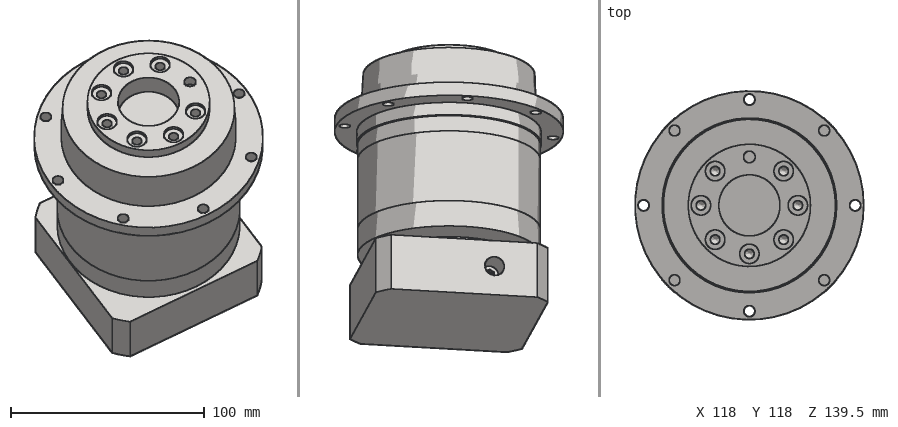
import cadquery as cq
import math

TOTAL_HEIGHT = 139.5
PLATE_TOP = 29.5
NECK_TOP = 30.0
COLLAR_TOP = 32.6
REAR_CONE_TOP = 35.6
RING_BOTTOM = 49.4
RING_TOP = 87.3
SHOULDER_BOTTOM = 95.5
FLANGE_BOTTOM = 102.7
FLANGE_TOP = 109.8
TAPER_BOTTOM = 120.0
HOUSING_TOP = 133.6

OUTPUT_RADIUS = 31.5
NOSE_TOP_RADIUS = 44.4
NOSE_RADIUS = 45.0
FLANGE_RADIUS = 59.0
SHOULDER_RADIUS = 47.5
BARREL_RADIUS = 47.2
COLLAR_RADIUS = 38.5
NECK_RADIUS = 38.0

FLANGE_HOLE_COUNT = 8
FLANGE_HOLE_DIAMETER = 5.6
FLANGE_HOLE_CIRCLE_RADIUS = 54.5

BORE_DIAMETER = 31.5
BORE_DEPTH = 12.0
OUTPUT_POSITION_COUNT = 8
OUTPUT_HOLE_CIRCLE_RADIUS = 25.0
DOWEL_ANGLE = 90.0
DOWEL_DIAMETER = 6.0
DOWEL_DEPTH = 6.0
DRILL_DIAMETER = 4.9
DRILL_DEPTH = 14.0
DRILL_POINT_ANGLE = 118.0
COUNTERBORE_DIAMETER = 10.0
COUNTERBORE_DEPTH = 1.7

PLATE_WIDTH = 2 * NOSE_RADIUS
PLATE_CORNER_RADIUS = 59.1

ACCESS_DIAMETER = 10.0
ACCESS_DEPTH = 20.9
ACCESS_Y = -15.9
ACCESS_Z = 15.6
SCREW_HEAD_DIAMETER = 9.5
SCREW_HEAD_HEIGHT = 6.0
SCREW_HEAD_FILLET = 0.5
SOCKET_SIDES = 6
SOCKET_ACROSS_FLATS = 5.0
SOCKET_DEPTH = 2.8


def turned(profile):
    """Solid of revolution about Z from (radius, height) points."""
    return cq.Workplane("XZ").polyline(profile).close().revolve(360, (0, 0), (0, 1))


def polar_point(radius, angle):
    """X and Y of a point at a radius and an angle in degrees from +X."""
    return radius * math.cos(math.radians(angle)), radius * math.sin(math.radians(angle))


def drilled_hole(x, y):
    """Cutter for one counterbored hole with a conical drill point, open at the output face."""
    drill_radius = DRILL_DIAMETER / 2
    counterbore_radius = COUNTERBORE_DIAMETER / 2
    point_length = drill_radius / math.tan(math.radians(DRILL_POINT_ANGLE / 2))
    profile = [
        (0, 0),
        (counterbore_radius, 0),
        (counterbore_radius, -COUNTERBORE_DEPTH),
        (drill_radius, -COUNTERBORE_DEPTH),
        (drill_radius, -DRILL_DEPTH),
        (0, -DRILL_DEPTH - point_length),
    ]
    return turned(profile).translate((x, y, TOTAL_HEIGHT))


def make_front_housing():
    """Flanged front housing with the output face on top."""
    shoulder_step = SHOULDER_RADIUS - BARREL_RADIUS
    housing = turned([
        (0, RING_TOP),
        (BARREL_RADIUS, RING_TOP),
        (BARREL_RADIUS, SHOULDER_BOTTOM),
        (SHOULDER_RADIUS, SHOULDER_BOTTOM + shoulder_step),
        (SHOULDER_RADIUS, FLANGE_BOTTOM),
        (FLANGE_RADIUS, FLANGE_BOTTOM),
        (FLANGE_RADIUS, FLANGE_TOP),
        (NOSE_RADIUS, FLANGE_TOP),
        (NOSE_RADIUS, TAPER_BOTTOM),
        (NOSE_TOP_RADIUS, HOUSING_TOP),
        (OUTPUT_RADIUS, HOUSING_TOP),
        (OUTPUT_RADIUS, TOTAL_HEIGHT),
        (0, TOTAL_HEIGHT),
    ])

    flange_holes = (
        cq.Workplane("XY", origin=(0, 0, FLANGE_BOTTOM))
        .polarArray(FLANGE_HOLE_CIRCLE_RADIUS, 0, 360, FLANGE_HOLE_COUNT)
        .circle(FLANGE_HOLE_DIAMETER / 2)
        .extrude(FLANGE_TOP - FLANGE_BOTTOM)
    )
    housing = housing.cut(flange_holes)

    output_face = cq.Workplane("XY", origin=(0, 0, TOTAL_HEIGHT))
    bore = output_face.circle(BORE_DIAMETER / 2).extrude(-BORE_DEPTH)
    housing = housing.cut(bore)

    for index in range(OUTPUT_POSITION_COUNT):
        angle = index * 360 / OUTPUT_POSITION_COUNT
        x, y = polar_point(OUTPUT_HOLE_CIRCLE_RADIUS, angle)
        if angle == DOWEL_ANGLE:
            hole = output_face.center(x, y).circle(DOWEL_DIAMETER / 2).extrude(-DOWEL_DEPTH)
        else:
            hole = drilled_hole(x, y)
        housing = housing.cut(hole)
    return housing


def make_ring():
    """Plain cylindrical middle section of the barrel."""
    return (
        cq.Workplane("XY", origin=(0, 0, RING_BOTTOM))
        .circle(BARREL_RADIUS)
        .extrude(RING_TOP - RING_BOTTOM)
    )


def make_rear_housing():
    """Lower barrel, cone, collar and neck on the square base plate."""
    neck_step = COLLAR_RADIUS - NECK_RADIUS
    barrel = turned([
        (0, PLATE_TOP),
        (NECK_RADIUS, PLATE_TOP),
        (NECK_RADIUS, NECK_TOP),
        (COLLAR_RADIUS, NECK_TOP + neck_step),
        (COLLAR_RADIUS, COLLAR_TOP),
        (BARREL_RADIUS, REAR_CONE_TOP),
        (BARREL_RADIUS, RING_BOTTOM),
        (0, RING_BOTTOM),
    ])
    corner_round = cq.Workplane("XY").circle(PLATE_CORNER_RADIUS).extrude(PLATE_TOP)
    plate = cq.Workplane("XY").rect(PLATE_WIDTH, PLATE_WIDTH).extrude(PLATE_TOP).intersect(corner_round)
    access_hole = (
        cq.Workplane("YZ", origin=(-PLATE_WIDTH / 2, ACCESS_Y, ACCESS_Z))
        .circle(ACCESS_DIAMETER / 2)
        .extrude(ACCESS_DEPTH)
    )
    return plate.union(barrel).cut(access_hole)


def make_screw():
    """Socket screw head on the floor of the access hole, resting against the top of the hole."""
    floor_x = -PLATE_WIDTH / 2 + ACCESS_DEPTH
    center_z = ACCESS_Z + (ACCESS_DIAMETER - SCREW_HEAD_DIAMETER) / 2
    head = (
        cq.Workplane("YZ", origin=(floor_x, ACCESS_Y, center_z))
        .circle(SCREW_HEAD_DIAMETER / 2)
        .extrude(-SCREW_HEAD_HEIGHT)
        .faces("<X")
        .edges()
        .fillet(SCREW_HEAD_FILLET)
    )
    across_corners = SOCKET_ACROSS_FLATS / math.cos(math.pi / SOCKET_SIDES)
    socket = (
        cq.Workplane("YZ", origin=(floor_x - SCREW_HEAD_HEIGHT, ACCESS_Y, center_z))
        .transformed(rotate=(0, 0, 90))
        .polygon(SOCKET_SIDES, across_corners)
        .extrude(SOCKET_DEPTH)
    )
    return head.cut(socket)


front_housing = make_front_housing()
ring = make_ring()
rear_housing = make_rear_housing()
screw = make_screw()

result = cq.Compound.makeCompound([
    front_housing.val(),
    ring.val(),
    rear_housing.val(),
    screw.val(),
])